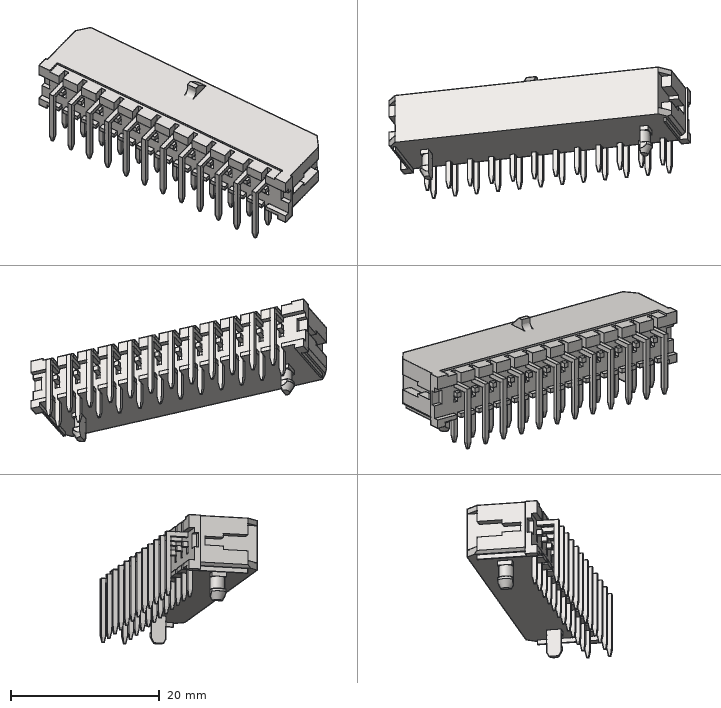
import cadquery as cq


total_length = 40.15
half_length = total_length / 2
flange_overhang = 0.3
half_body = half_length - flange_overhang
front_y = 9.95
bottom_z = 0.6
top_z = 7.4
flange_depth = 1.6
corner_chamfer_x = 1.35
corner_chamfer_y = 1.7
bottom_chamfer_width = 0.4
bottom_chamfer_height = 0.4
foot_width = 1.3
rail_half_spread = 19.07
rail_front_y = 8.47

rear_wall_y = 0.72
overhang_z = 5.62
lip_top_z = 1.2
top_recess_half_length = 18.3
top_recess_front_y = 1.8
top_recess_depth = 0.3
end_notch_width = 1.25
end_notch_y = 1.32
end_notch_z = (3.0, 4.98)

wall_pocket_depth = corner_chamfer_x
relief_z = (1.55, 6.65)
relief_depth = corner_chamfer_y
wide_pocket_z = (2.9, 5.1)
wide_pocket_y = 4.85
narrow_pocket_z = (3.37, 4.58)
narrow_pocket_y = 2.3

latch_width = 1.35
latch_front_y = 9.4
latch_crest_y = (7.03, 7.75)
latch_top_z = 8.85
latch_foot_size = 0.7
latch_foot_radius = 0.9

pin_count = 12
end_pin_x = 16.5
pin_pitch = 2 * end_pin_x / (pin_count - 1)
pin_size = 0.65
pin_bottom_z = -3.15
pin_taper_z = -2.15
pin_tip_size = 0.3
long_pin_y = -2.3
short_pin_front_y = rear_wall_y + pin_size
stub_z = (3.65, 4.35)
stub_pocket_floor_z = 2.77

peg_axis_x = 14.95
peg_flat_offset = 0.12
peg_y = 5.35
peg_radius = 1.0
barb_radius = 1.3
barb_tip_radius = 0.7
barb_top_z = -1.7
barb_taper_z = -2.05


def block(x_range, y_range, z_range):
    """Box given by its limits along X, Y and Z."""
    sizes = [limits[1] - limits[0] for limits in (x_range, y_range, z_range)]
    corner = (x_range[0], y_range[0], z_range[0])
    return cq.Workplane("XY").box(*sizes, centered=False).translate(corner)


def both_ends(left_feature):
    """A feature of the -X end together with its mirror image."""
    return left_feature.union(left_feature.mirror("YZ"))


def make_body():
    """Main block with its front corners cut off and its lower side edges bevelled."""
    section = [
        (-half_body, top_z),
        (half_body, top_z),
        (half_body, bottom_z + bottom_chamfer_height),
        (half_body - bottom_chamfer_width, bottom_z),
        (-half_body + bottom_chamfer_width, bottom_z),
        (-half_body, bottom_z + bottom_chamfer_height),
    ]
    body = cq.Workplane("XZ").polyline(section).close().extrude(-front_y)
    corner_y = front_y - corner_chamfer_y
    plan = [
        (-half_body, 0),
        (half_body, 0),
        (half_body, corner_y),
        (half_body - corner_chamfer_x, front_y),
        (-half_body + corner_chamfer_x, front_y),
        (-half_body, corner_y),
    ]
    return body.intersect(cq.Workplane("XY").polyline(plan).close().extrude(top_z))


def make_flange_and_feet():
    flange = block((-half_length, half_length), (0, flange_depth), (bottom_z, top_z))
    foot_inner_x = -half_length + foot_width
    foot = block((-half_length, foot_inner_x), (0, flange_depth), (0, bottom_z))
    rail = block((-rail_half_spread, foot_inner_x), (0, rail_front_y), (0, bottom_z))
    return flange.union(both_ends(foot.union(rail)))


def make_rear_cuts():
    """Recess between the upper overhang and the lower lip, top step and end notches."""
    recess = block((-half_length, half_length), (0, rear_wall_y), (lip_top_z, overhang_z))
    top_step = block(
        (-top_recess_half_length, top_recess_half_length),
        (0, top_recess_front_y),
        (top_z - top_recess_depth, top_z),
    )
    notch = block((-half_length, -half_length + end_notch_width), (0, end_notch_y), end_notch_z)
    return recess.union(top_step).union(both_ends(notch))


def make_end_pockets():
    """Stepped blind pocket and front relief in each end wall."""
    outer_x = -half_body
    inner_x = outer_x + wall_pocket_depth
    relief_y = front_y - relief_depth
    relief = block((outer_x, inner_x), (relief_y, front_y), relief_z)
    wide = block((outer_x, inner_x), (wide_pocket_y, front_y), wide_pocket_z)
    narrow = block((outer_x, inner_x), (narrow_pocket_y, wide_pocket_y), narrow_pocket_z)
    return both_ends(relief.union(wide).union(narrow))


def make_latch():
    """Ramp at the front, short crest and a concave foot at the back."""
    crest_back, crest_front = latch_crest_y
    return (
        cq.Workplane("YZ")
        .moveTo(latch_front_y, top_z)
        .lineTo(crest_front, latch_top_z)
        .lineTo(crest_back, latch_top_z)
        .lineTo(crest_back, top_z + latch_foot_size)
        .radiusArc((crest_back - latch_foot_size, top_z), latch_foot_radius)
        .close()
        .extrude(latch_width / 2, both=True)
    )


def make_pin_slots(x):
    """Slots in the overhang and lip and the pocket around the stub, for one pin."""
    width = (x - pin_size / 2, x + pin_size / 2)
    overhang_slot = block(width, (0, short_pin_front_y), (overhang_z, top_z))
    lip_slot = block(width, (0, rear_wall_y), (bottom_z, lip_top_z))
    stub_pocket = block(width, (rear_wall_y, short_pin_front_y), (stub_pocket_floor_z, stub_z[1]))
    return overhang_slot.union(lip_slot).union(stub_pocket)


def make_leg(x, rear_y, leg_top_z):
    """Vertical square leg with a tapered tip."""
    shaft = block(
        (x - pin_size / 2, x + pin_size / 2),
        (rear_y, rear_y + pin_size),
        (pin_taper_z, leg_top_z),
    )
    tip = (
        cq.Workplane("XY", origin=(x, rear_y + pin_size / 2, pin_taper_z))
        .rect(pin_size, pin_size)
        .workplane(offset=pin_bottom_z - pin_taper_z)
        .rect(pin_tip_size, pin_tip_size)
        .loft()
    )
    return shaft.union(tip)


def make_pin_pair(x):
    """Long bent pin of the upper row, and short leg and stub of the lower row."""
    width = (x - pin_size / 2, x + pin_size / 2)
    long_arm = block(width, (long_pin_y, short_pin_front_y), (overhang_z - pin_size, overhang_z))
    long_leg = make_leg(x, long_pin_y, overhang_z)
    short_leg = make_leg(x, rear_wall_y, lip_top_z)
    stub = block(width, (0, short_pin_front_y), stub_z)
    return long_arm.union(long_leg).union(short_leg).union(stub)


def make_peg():
    """Peg at the -X end, cut flat on its inner side, with a barbed tip as wide as the shank in Y."""
    profile = [
        (0, bottom_z),
        (peg_radius, bottom_z),
        (peg_radius, barb_top_z),
        (barb_radius, barb_top_z),
        (barb_radius, barb_taper_z),
        (barb_tip_radius, pin_bottom_z),
        (0, pin_bottom_z),
    ]
    peg = cq.Workplane("XZ").polyline(profile).close().revolve(360, (0, 0, 0), (0, 1, 0))
    y_range = (-peg_radius, peg_radius)
    envelope = block((-barb_radius, peg_flat_offset), y_range, (pin_bottom_z, bottom_z))
    pad = block((-peg_radius, peg_flat_offset), y_range, (0, bottom_z))
    return peg.intersect(envelope).union(pad).translate((-peg_axis_x, peg_y, 0))


housing = make_body().union(make_flange_and_feet())
housing = housing.cut(make_rear_cuts()).cut(make_end_pockets())
housing = housing.union(make_latch()).union(both_ends(make_peg()))

for index in range(pin_count):
    pin_x = -end_pin_x + index * pin_pitch
    housing = housing.cut(make_pin_slots(pin_x)).union(make_pin_pair(pin_x))

result = housing